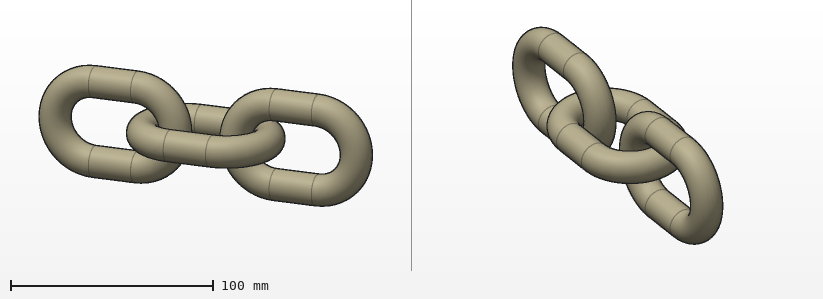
import cadquery as cq

wire_diameter = 16.0
link_count = 3
inside_length = 3.0 * wire_diameter
outside_width = 3.6 * wire_diameter

pitch = inside_length
bend_radius = (outside_width - wire_diameter) / 2.0
straight_length = inside_length + 2.0 * wire_diameter - outside_width


def chain_link(center_x, plane_name):
    """One closed link lying in the named plane, long axis along X."""
    half_straight = straight_length / 2.0
    centerline = (
        cq.Workplane(plane_name)
        .moveTo(-half_straight, bend_radius)
        .lineTo(half_straight, bend_radius)
        .threePointArc((half_straight + bend_radius, 0), (half_straight, -bend_radius))
        .lineTo(-half_straight, -bend_radius)
        .threePointArc((-half_straight - bend_radius, 0), (-half_straight, bend_radius))
        .close()
    )
    start = cq.Workplane(plane_name).center(-half_straight, bend_radius).plane.origin
    section_plane = cq.Plane(origin=start, normal=(1, 0, 0))
    link = cq.Workplane(section_plane).circle(wire_diameter / 2.0).sweep(centerline)
    return link.translate((center_x, 0, 0))


links = []
for index in range(link_count):
    center_x = (index - (link_count - 1) / 2.0) * pitch
    plane_name = "XZ" if index % 2 == 0 else "XY"
    links.append(chain_link(center_x, plane_name))

result = cq.Compound.makeCompound([link.val() for link in links])